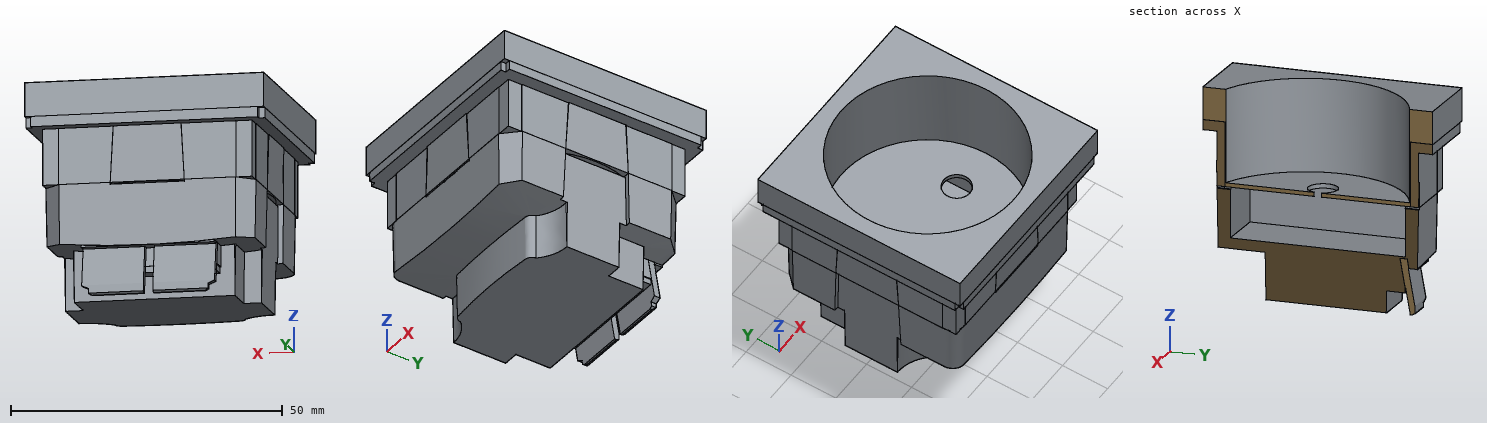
import cadquery as cq
import math

TOTAL_HEIGHT = 39.8
COVER_BOTTOM = 33.4
FLANGE_BOTTOM = 31.45
HOUSING_TOP = 20.92
SLIT_BOTTOM = 20.55
BELLY_EDGE = 10.05
BELLY_LOW = 9.0
CAVITY_FLOOR = 11.25

COVER_SIDE = 45.0
FLANGE_NOTCH = 1.12
SOCKET_DIAMETER = 38.4
SOCKET_DEPTH = 18.0
CUP_DIAMETER = 38.95
PIN_HOLE_DIAMETER = 5.75
PIN_HOLE_OFFSET = 9.5
CORNER_POST_HALF = 19.7
PANEL_HALF = 19.8
PANEL_WIDTH = 33.5
TONGUE_TOP_HALF = 20.0
TONGUE_TOP_WIDTH = 12.8
TONGUE_BOTTOM_WIDTH = 13.95

HOUSING_HALF = PANEL_HALF
HOUSING_DRAFT = 1.1
CORNER_RADIUS = 2.85
CORNER_CHAMFER = 3.15
CAVITY_SIDE = 34.2
RECESS_BOTTOM_WIDTH = 14.75

BASE_DRAFT = 1.0
BASE_HALF = 18.45
WING_HALF_WIDTH = 5.8
BACK_HALF = 15.1
BACK_Y = 13.45
SCOOP_RADIUS = 8.45
SCOOP_WIDTH = 6.15
FRONT_HALF = 11.02
FRONT_EDGE_Y = -9.85
FRONT_BOW = 0.6
NOSE_BULGE = 0.22

LEVER_OUTER_X = 12.5
LEVER_INNER_X = 0.9
LEVER_TOP = 10.8
LEVER_TIP = 0.15
LEVER_KNEE = 1.9
LEVER_KNEE_Y = 19.1
LEVER_LEAN = 0.18
LEVER_THICKNESS = 1.3
LEVER_TOE_HEIGHT = 0.3
LEVER_TOE_RUN = 0.6
LEVER_STEP_WIDTH = 1.25
LEVER_STEP_BOTTOM = 1.3
PAD_BACK_Y = 19.55
GUARD_STEP = 5.4
GUARD_BOTTOM = 4.25
GUARD_LIP_HALF = 12.35
GUARD_LIP_Y = 17.1


def block(half_x, y_min, y_max, z_min, z_max):
    """Box centred on X between the given Y and Z limits."""
    return (
        cq.Workplane("XY")
        .box(2 * half_x, y_max - y_min, z_max - z_min, centered=(True, False, False))
        .translate((0, y_min, z_min))
    )


def centred_block(side_x, side_y, z_min, z_max):
    """Box centred on the Z axis."""
    return block(side_x / 2, -side_y / 2, side_y / 2, z_min, z_max)


def make_cup_outside():
    """Solid cylinder as large as the outside of the socket cup."""
    return (
        cq.Workplane("XY")
        .workplane(offset=HOUSING_TOP)
        .circle(CUP_DIAMETER / 2)
        .extrude(COVER_BOTTOM - HOUSING_TOP)
    )


def make_cover():
    """Square plate with the round socket cup and its two pin holes."""
    plate = centred_block(COVER_SIDE, COVER_SIDE, COVER_BOTTOM, TOTAL_HEIGHT)
    socket_floor = TOTAL_HEIGHT - SOCKET_DEPTH
    socket = (
        cq.Workplane("XY")
        .workplane(offset=socket_floor)
        .circle(SOCKET_DIAMETER / 2)
        .extrude(SOCKET_DEPTH)
    )
    pin_holes = (
        cq.Workplane("XY")
        .workplane(offset=HOUSING_TOP)
        .pushPoints([(-PIN_HOLE_OFFSET, 0), (PIN_HOLE_OFFSET, 0)])
        .circle(PIN_HOLE_DIAMETER / 2)
        .extrude(socket_floor - HOUSING_TOP)
    )
    return plate.union(make_cup_outside()).cut(socket).cut(pin_holes)


def make_tongue_pair():
    """Trapezoidal snap tongues on opposite sides, leaning inwards towards the housing."""
    front = (
        cq.Workplane("XZ")
        .polyline([
            (-TONGUE_TOP_WIDTH / 2, FLANGE_BOTTOM),
            (TONGUE_TOP_WIDTH / 2, FLANGE_BOTTOM),
            (TONGUE_BOTTOM_WIDTH / 2, HOUSING_TOP),
            (-TONGUE_BOTTOM_WIDTH / 2, HOUSING_TOP),
        ])
        .close()
        .extrude(COVER_SIDE / 2, both=True)
    )
    side = (
        cq.Workplane("YZ")
        .polyline([
            (-TONGUE_TOP_HALF, FLANGE_BOTTOM),
            (TONGUE_TOP_HALF, FLANGE_BOTTOM),
            (PANEL_HALF, HOUSING_TOP),
            (-PANEL_HALF, HOUSING_TOP),
        ])
        .close()
        .extrude(COVER_SIDE / 2, both=True)
    )
    return front.intersect(side)


def make_frame():
    """Notched flange above a square sleeve that surrounds the socket cup."""
    flange = centred_block(COVER_SIDE, COVER_SIDE, FLANGE_BOTTOM, COVER_BOTTOM)
    notch_centre = (COVER_SIDE - FLANGE_NOTCH) / 2
    notches = (
        cq.Workplane("XY")
        .workplane(offset=FLANGE_BOTTOM)
        .rect(2 * notch_centre, 2 * notch_centre, forConstruction=True)
        .vertices()
        .rect(FLANGE_NOTCH, FLANGE_NOTCH)
        .extrude(COVER_BOTTOM - FLANGE_BOTTOM)
    )
    frame = flange.cut(notches)

    frame = frame.union(centred_block(2 * CORNER_POST_HALF, 2 * CORNER_POST_HALF, HOUSING_TOP, FLANGE_BOTTOM))
    panels = centred_block(PANEL_WIDTH, 2 * PANEL_HALF, HOUSING_TOP, FLANGE_BOTTOM)
    tongues = make_tongue_pair()
    for angle in (0, 90):
        for feature in (panels, tongues):
            frame = frame.union(feature.rotate((0, 0, 0), (0, 0, 1), angle))

    return frame.cut(make_cup_outside())


def make_housing_shell():
    """Drafted block with three chamfered corners, one round corner and a curved underside."""
    half = HOUSING_HALF
    flat = half - CORNER_CHAMFER
    round_start = half - CORNER_RADIUS
    round_middle = round_start + CORNER_RADIUS * math.sqrt(0.5)
    outline = (
        cq.Workplane("XY")
        .workplane(offset=HOUSING_TOP)
        .moveTo(-round_start, -half)
        .lineTo(flat, -half)
        .lineTo(half, -flat)
        .lineTo(half, flat)
        .lineTo(flat, half)
        .lineTo(-flat, half)
        .lineTo(-half, flat)
        .lineTo(-half, -round_start)
        .threePointArc((-round_middle, -round_middle), (-round_start, -half))
        .close()
    )
    drafted = outline.extrude(-HOUSING_TOP, taper=HOUSING_DRAFT)
    belly = (
        cq.Workplane("XZ")
        .moveTo(-half, HOUSING_TOP)
        .lineTo(-half, BELLY_EDGE)
        .threePointArc((0, BELLY_LOW), (half, BELLY_EDGE))
        .lineTo(half, HOUSING_TOP)
        .close()
        .extrude(half, both=True)
    )
    return drafted.intersect(belly)


def make_side_recesses():
    """Trapezoidal recesses under the tongues on both X sides, as deep as the wings of the base."""
    opening = (
        cq.Workplane("YZ")
        .polyline([
            (-TONGUE_BOTTOM_WIDTH / 2, SLIT_BOTTOM),
            (TONGUE_BOTTOM_WIDTH / 2, SLIT_BOTTOM),
            (RECESS_BOTTOM_WIDTH / 2, BELLY_LOW),
            (-RECESS_BOTTOM_WIDTH / 2, BELLY_LOW),
        ])
        .close()
        .extrude(COVER_SIDE / 2, both=True)
    )
    top_half = BASE_HALF + SLIT_BOTTOM * math.tan(math.radians(BASE_DRAFT))
    kept_middle = (
        cq.Workplane("XZ")
        .polyline([(-BASE_HALF, 0), (BASE_HALF, 0), (top_half, SLIT_BOTTOM), (-top_half, SLIT_BOTTOM)])
        .close()
        .extrude(COVER_SIDE / 2, both=True)
    )
    return opening.cut(kept_middle)


def make_base():
    """Lower tower: wings on both X sides, two scoops and a bowed front."""
    scoop_end_x = BASE_HALF - SCOOP_WIDTH

    def scoop_y(run):
        return -WING_HALF_WIDTH - SCOOP_RADIUS + math.sqrt(SCOOP_RADIUS**2 - run**2)

    scoop_middle = (BASE_HALF - SCOOP_WIDTH / 2, scoop_y(SCOOP_WIDTH / 2))
    scoop_end = (scoop_end_x, scoop_y(SCOOP_WIDTH))
    nose_middle = (
        (scoop_end_x + FRONT_HALF) / 2 + NOSE_BULGE,
        (scoop_end[1] + FRONT_EDGE_Y) / 2 - NOSE_BULGE,
    )
    outline = (
        cq.Workplane("XY")
        .moveTo(-BACK_HALF, BACK_Y)
        .lineTo(-BACK_HALF, WING_HALF_WIDTH)
        .lineTo(-BASE_HALF, WING_HALF_WIDTH)
        .lineTo(-BASE_HALF, -WING_HALF_WIDTH)
        .threePointArc((-scoop_middle[0], scoop_middle[1]), (-scoop_end[0], scoop_end[1]))
        .threePointArc((-nose_middle[0], nose_middle[1]), (-FRONT_HALF, FRONT_EDGE_Y))
        .threePointArc((0, FRONT_EDGE_Y - FRONT_BOW), (FRONT_HALF, FRONT_EDGE_Y))
        .threePointArc(nose_middle, scoop_end)
        .threePointArc(scoop_middle, (BASE_HALF, -WING_HALF_WIDTH))
        .lineTo(BASE_HALF, WING_HALF_WIDTH)
        .lineTo(BACK_HALF, WING_HALF_WIDTH)
        .lineTo(BACK_HALF, BACK_Y)
        .close()
    )
    return outline.extrude(CAVITY_FLOOR, taper=-BASE_DRAFT)


def lever_back_y(height):
    """Y of the outer lever face at a height above the knee."""
    return LEVER_KNEE_Y - LEVER_LEAN * (height - LEVER_KNEE)


def lever_front_y(height):
    """Y of the inner lever face, which lies against the guard."""
    return lever_back_y(height) - LEVER_THICKNESS


def make_terminal_guard():
    """Flat pad and stepped guard that carry the levers."""
    pad = block(LEVER_OUTER_X, BACK_Y, PAD_BACK_Y, BELLY_LOW, CAVITY_FLOOR)
    guard = (
        cq.Workplane("YZ")
        .polyline([
            (BACK_Y, BELLY_LOW),
            (lever_front_y(BELLY_LOW), BELLY_LOW),
            (lever_front_y(GUARD_STEP), GUARD_STEP),
            (BACK_Y, GUARD_STEP),
        ])
        .close()
        .extrude(LEVER_OUTER_X, both=True)
    )
    lip = block(GUARD_LIP_HALF, BACK_Y, GUARD_LIP_Y, GUARD_BOTTOM, GUARD_STEP)
    return pad.union(guard).union(lip)


def make_lever(side):
    """Leaning lever with a stepped tip; side is -1 or +1 along X."""
    profile = (
        cq.Workplane("YZ")
        .polyline([
            (lever_front_y(LEVER_TOP), LEVER_TOP),
            (lever_back_y(LEVER_TOP), LEVER_TOP),
            (LEVER_KNEE_Y, LEVER_KNEE),
            (LEVER_KNEE_Y, LEVER_TIP + LEVER_TOE_HEIGHT),
            (LEVER_KNEE_Y - LEVER_TOE_RUN, LEVER_TIP),
            (lever_front_y(LEVER_TIP), LEVER_TIP),
        ])
        .close()
        .extrude(COVER_SIDE / 2, both=True)
    )
    step_x = LEVER_OUTER_X - LEVER_STEP_WIDTH
    outline = (
        cq.Workplane("XZ")
        .polyline([
            (side * LEVER_INNER_X, LEVER_TOP),
            (side * LEVER_OUTER_X, LEVER_TOP),
            (side * LEVER_OUTER_X, LEVER_KNEE),
            (side * step_x, LEVER_STEP_BOTTOM),
            (side * step_x, LEVER_TIP + LEVER_TOE_HEIGHT),
            (side * (step_x - LEVER_TOE_RUN), LEVER_TIP),
            (side * LEVER_INNER_X, LEVER_TIP),
        ])
        .close()
        .extrude(COVER_SIDE / 2, both=True)
    )
    return profile.intersect(outline)


def make_housing(levers):
    """Hollow lower shell on its base, with see-through slits at the rim and slots for the levers."""
    housing = make_housing_shell().cut(make_side_recesses())
    housing = housing.union(make_base()).union(make_terminal_guard())
    housing = housing.cut(centred_block(CAVITY_SIDE, CAVITY_SIDE, CAVITY_FLOOR, HOUSING_TOP))
    slit_along_x = centred_block(COVER_SIDE, TONGUE_BOTTOM_WIDTH, SLIT_BOTTOM, HOUSING_TOP)
    slit_along_y = centred_block(TONGUE_BOTTOM_WIDTH, COVER_SIDE, SLIT_BOTTOM, HOUSING_TOP)
    housing = housing.cut(slit_along_x).cut(slit_along_y)
    for lever in levers:
        housing = housing.cut(lever)
    return housing


cover = make_cover()
frame = make_frame()
levers = [make_lever(side) for side in (-1, 1)]
housing = make_housing(levers)

result = cq.Compound.makeCompound([
    cover.val(),
    frame.val(),
    housing.val(),
    *[lever.val() for lever in levers],
])